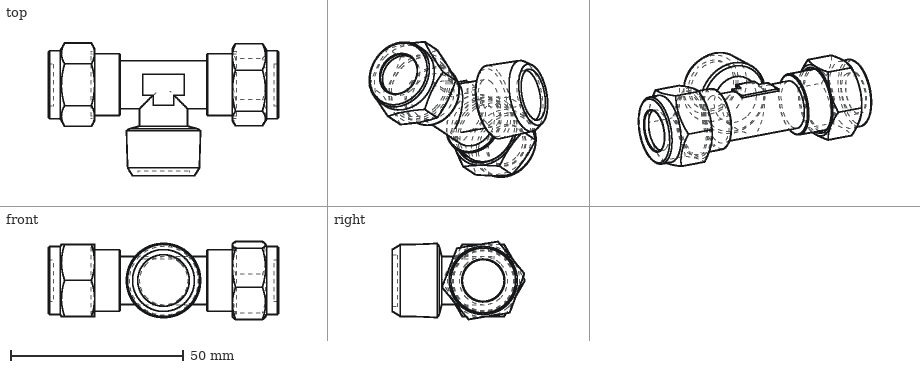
import cadquery as cq
import math

overall_length = 67.0
pipe_radius = 7.0
half_length = overall_length / 2

collar_radius = 9.0
collar_start = 12.5
collar_edge_chamfer = 0.3
collar_face_radius = collar_radius - collar_edge_chamfer
collar_face_depth = 0.4

nut_start = 20.0
nut_hex_end = 30.0
nut_across_flats = 21.0
nut_corner_radius = nut_across_flats / math.sqrt(3)
nut_chamfer_angle = 30.0
nut_inner_face_radius = nut_across_flats / 2
nut_rim_radius = 9.9
nut_rim_chamfer = 0.5
nut_recess_radius = 9.7
nut_recess_depth = 1.2
left_nut_turn = 0.0
right_nut_turn = 9.35

socket_radius = 6.05
socket_mouth_chamfer = 0.2
socket_depth = 1.5

branch_length = 26.5
flare_start = 12.0
flare_end = 13.4
flare_angle = 15.0
flare_shoulder_radius = 10.0
flare_shoulder = flare_start + (flare_shoulder_radius - pipe_radius) * math.tan(math.radians(flare_angle))
taper_start_radius = 10.8
taper_end = 24.1
taper = 1 / 16
taper_end_radius = taper_start_radius - (taper_end - flare_end) * taper / 2
branch_tip_radius = 9.0
branch_bore_radius = 7.5
branch_bore_depth = 1.5

pad_height = 7.0
pad_half_length = 6.0
pad_half_width = 3.0
pad_stem_end = 6.0


def x_cylinder(radius, start, end):
    """Cylinder along +X between two stations."""
    return cq.Workplane("YZ").workplane(offset=start).circle(radius).extrude(end - start)


def nut_hexagon(turn):
    """Hexagon along +X with a corner on Y, turned about X, with chamfered corners at both ends."""
    hexagon = (
        cq.Workplane("YZ")
        .workplane(offset=nut_start)
        .polygon(6, 2 * nut_corner_radius)
        .extrude(nut_hex_end - nut_start)
        .rotate((0, 0, 0), (1, 0, 0), turn)
    )
    chamfer_slope = math.tan(math.radians(nut_chamfer_angle))
    inner_chamfer_length = (nut_corner_radius - nut_inner_face_radius) * chamfer_slope
    outer_chamfer_length = (nut_corner_radius - nut_rim_radius) * chamfer_slope
    chamfer_envelope = (
        cq.Workplane("XY")
        .moveTo(nut_start, 0)
        .lineTo(nut_start, nut_inner_face_radius)
        .lineTo(nut_start + inner_chamfer_length, nut_corner_radius)
        .lineTo(nut_hex_end - outer_chamfer_length, nut_corner_radius)
        .lineTo(nut_hex_end, nut_rim_radius)
        .lineTo(nut_hex_end, 0)
        .close()
        .revolve(360, (0, 0, 0), (1, 0, 0))
    )
    return hexagon.intersect(chamfer_envelope)


def body_collar():
    """Collar with a shallow conical shoulder and a chamfered edge, revolved about X."""
    edge_start = collar_start + collar_face_depth - collar_edge_chamfer
    return (
        cq.Workplane("XY")
        .moveTo(collar_start, 0)
        .lineTo(collar_start, pipe_radius)
        .lineTo(edge_start, collar_face_radius)
        .lineTo(edge_start + collar_edge_chamfer, collar_radius)
        .lineTo(nut_start + nut_recess_depth, collar_radius)
        .lineTo(nut_start + nut_recess_depth, 0)
        .close()
        .revolve(360, (0, 0, 0), (1, 0, 0))
    )


def run_end(nut_turn):
    """Collar and nut at the +X end of the run."""
    recess = x_cylinder(nut_recess_radius, nut_start, nut_start + nut_recess_depth)
    rim = x_cylinder(nut_rim_radius, nut_hex_end, half_length).faces(">X").chamfer(nut_rim_chamfer)
    socket = x_cylinder(socket_radius, half_length - socket_depth, half_length)
    nut = nut_hexagon(nut_turn).cut(recess).union(rim)
    end = nut.union(body_collar()).cut(socket)
    return end.faces(">X").edges(cq.selectors.RadiusNthSelector(0)).chamfer(socket_mouth_chamfer)


def branch():
    """Neck and tapered male end, revolved about Y."""
    return (
        cq.Workplane("XY")
        .lineTo(pipe_radius, 0)
        .lineTo(pipe_radius, -flare_start)
        .lineTo(flare_shoulder_radius, -flare_shoulder)
        .lineTo(taper_start_radius, -flare_end)
        .lineTo(taper_end_radius, -taper_end)
        .lineTo(branch_tip_radius, -branch_length)
        .lineTo(branch_bore_radius, -branch_length)
        .lineTo(branch_bore_radius, -branch_length + branch_bore_depth)
        .lineTo(0, -branch_length + branch_bore_depth)
        .close()
        .revolve(360, (0, 0, 0), (0, 1, 0))
    )


def top_pad():
    """T-shaped pad, level with the top of the run."""
    bar = cq.Workplane("XY").rect(2 * pad_half_length, 2 * pad_half_width).extrude(pad_height)
    stem = (
        cq.Workplane("XY")
        .center(0, -pad_stem_end / 2)
        .rect(2 * pad_half_width, pad_stem_end)
        .extrude(pad_height)
    )
    return bar.union(stem)


run = x_cylinder(pipe_radius, -nut_start, nut_start)
right_end = run_end(right_nut_turn)
left_end = run_end(left_nut_turn).mirror("YZ")

result = run.union(branch()).union(top_pad()).union(right_end).union(left_end)